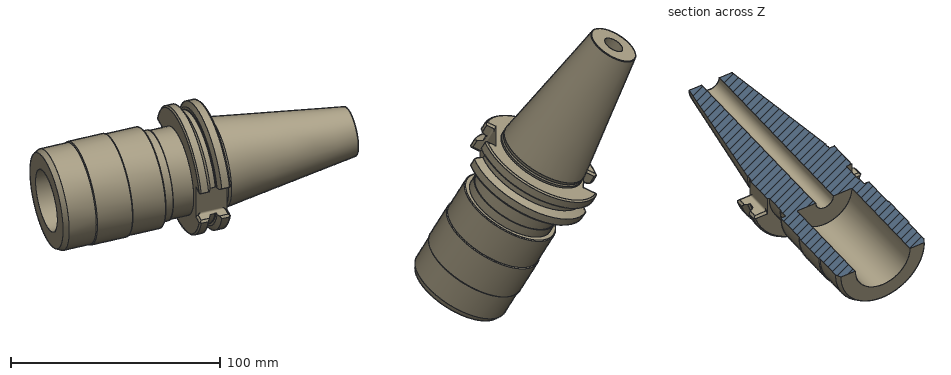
import cadquery as cq
import math

length = 154.3

nose_radius = 23.6
nose_length = 2.6
sleeve_radius = 25.0
band_radius = 25.5
band_front = 16.4
band_back = 35.0
sleeve_back = 52.0
sleeve_back_chamfer = 0.5

collar_radius = 22.4
collar_back = 56.5
neck_radius = 21.9

flange_radius = 31.8
flange_front = 67.0
flange_back = 82.9
flange_chamfer = 0.8
groove_radius = 28.1
undercut_radius = 27.8
undercut_front = 76.2
undercut_back = 76.7
groove_center = 74.8
groove_floor_half_width = 1.2
groove_wall_angle = 30.0

gauge_radius = 22.2
gauge_plane = 86.1
taper_tip_chamfer = 0.3
taper_slope = 7.0 / 24.0 / 2.0
relief_radius = 21.9
relief_back = 84.7
relief_front = 83.8

bore_radius = 15.5
bore_depth = sleeve_back
through_radius = 5.0

slot_half_width = 8.2
slot_chamfer = 1.1
slot_corner_radius = 1.0
right_slot_floor = 25.0
left_slot_floor = 22.8


def make_body():
    """Revolve the outer outline, given as (radius, Y) points, about the Y axis."""
    wall_slope = math.tan(math.radians(groove_wall_angle))
    groove_mouth_half_width = groove_floor_half_width + (flange_radius - groove_radius) * wall_slope
    groove_back = groove_center + groove_mouth_half_width
    undercut_rim_radius = flange_radius - (groove_back - undercut_back) / wall_slope
    tip_radius = gauge_radius - taper_slope * (length - gauge_plane)
    flange_edge_radius = flange_radius - flange_chamfer
    outline = [
        (0, 0),
        (nose_radius, 0),
        (sleeve_radius, nose_length),
        (sleeve_radius, band_front),
        (band_radius, band_front + band_radius - sleeve_radius),
        (band_radius, band_back - band_radius + sleeve_radius),
        (sleeve_radius, band_back),
        (sleeve_radius, sleeve_back - sleeve_back_chamfer),
        (sleeve_radius - sleeve_back_chamfer, sleeve_back),
        (collar_radius, sleeve_back),
        (collar_radius, collar_back),
        (neck_radius, collar_back),
        (neck_radius, flange_front),
        (flange_edge_radius, flange_front),
        (flange_radius, flange_front + flange_chamfer),
        (flange_radius, groove_center - groove_mouth_half_width),
        (groove_radius, groove_center - groove_floor_half_width),
        (groove_radius, undercut_front),
        (undercut_radius, undercut_front),
        (undercut_radius, undercut_back),
        (undercut_rim_radius, undercut_back),
        (flange_radius, groove_back),
        (flange_radius, flange_back - flange_chamfer),
        (flange_edge_radius, flange_back),
        (gauge_radius, flange_back),
        (gauge_radius, relief_front),
        (relief_radius, relief_back),
        (gauge_radius, gauge_plane),
        (tip_radius, length - taper_tip_chamfer),
        (tip_radius - taper_tip_chamfer, length),
        (0, length),
    ]
    return cq.Workplane("XY").polyline(outline).close().revolve(360, (0, 0, 0), (0, 1, 0))


def make_bores():
    """Blind shank bore from the nose and a coolant hole through the whole length."""
    front = cq.Workplane("XZ")
    bore = front.circle(bore_radius).extrude(-bore_depth)
    through_hole = front.circle(through_radius).extrude(-length)
    return bore.union(through_hole)


def make_slot(floor):
    """Cutter for the drive slot on the +X side, with its flat floor at X = floor."""
    flange_width = flange_back - flange_front
    reach = flange_radius - floor
    rim_half_width = slot_half_width + slot_chamfer
    rim = math.sqrt(flange_radius**2 - rim_half_width**2)

    channel = (
        cq.Workplane("XY")
        .box(reach, flange_width, 2 * slot_half_width, centered=(False, False, True))
        .translate((floor, flange_front, 0))
        .edges("<X and |Y")
        .fillet(slot_corner_radius)
    )

    flare_outer = rim_half_width + flange_radius - rim
    mouth = (
        cq.Workplane("XZ", origin=(0, flange_front, 0))
        .polyline([
            (rim - slot_chamfer, slot_half_width),
            (flange_radius, flare_outer),
            (flange_radius, -flare_outer),
            (rim - slot_chamfer, -slot_half_width),
        ])
        .close()
        .extrude(-flange_width)
    )
    cutter = channel.union(mouth)

    for face, inward in ((flange_front, 1), (flange_back, -1)):
        flare = (
            cq.Workplane("YZ", origin=(floor, 0, 0))
            .polyline([(face, rim_half_width), (face, -rim_half_width), (face + inward * rim_half_width, 0)])
            .close()
            .extrude(reach)
        )
        cutter = cutter.union(flare)
    return cutter


right_slot = make_slot(right_slot_floor)
left_slot = make_slot(left_slot_floor).rotate((0, 0, 0), (0, 1, 0), 180)

result = make_body().cut(make_bores()).cut(right_slot).cut(left_slot)